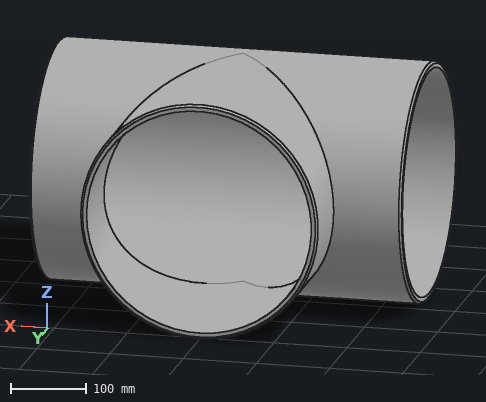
import cadquery as cq

run_length = 508.0
outer_diameter = 324.0
wall = 8.5
bevel = 3.0

half_length = run_length / 2
outer_radius = outer_diameter / 2
inner_radius = outer_radius - wall
end_radius = outer_radius - bevel


def revolved_branch(profile):
    """Turn a (radius, distance along Y) profile around the Y axis."""
    return cq.Workplane("XY").polyline(profile).close().revolve(360, (0, 0, 0), (0, 1, 0))


def revolved_run(profile):
    """Turn a (distance along X, radius) profile around the X axis."""
    return cq.Workplane("XY").polyline(profile).close().revolve(360, (0, 0, 0), (1, 0, 0))


run = revolved_run([
    (-half_length, 0),
    (-half_length, end_radius),
    (-half_length + bevel, outer_radius),
    (half_length - bevel, outer_radius),
    (half_length, end_radius),
    (half_length, 0),
])
branch = revolved_branch([
    (0, 0),
    (outer_radius, 0),
    (outer_radius, half_length - bevel),
    (end_radius, half_length),
    (0, half_length),
])

run_bore = cq.Workplane("YZ").circle(inner_radius).extrude(half_length, both=True)
branch_bore = cq.Workplane("XZ").circle(inner_radius).extrude(-half_length)

result = run.union(branch).cut(run_bore).cut(branch_bore)